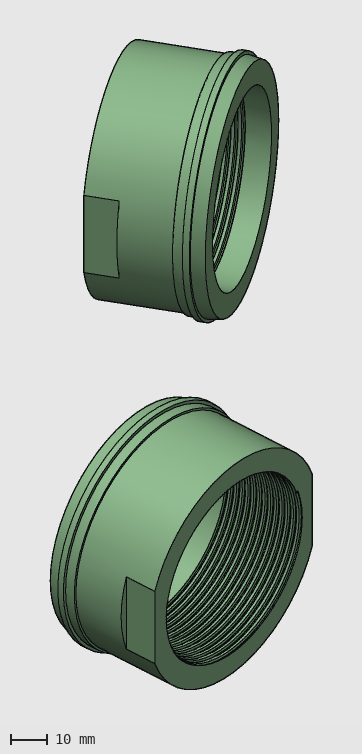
import cadquery as cq

length = 35.0
collar_start = 25.95
flange_start = 29.0
flange_end = 31.0

flange_radius = 37.4
collar_radius = 36.4
body_radius = 35.75
bore_radius = 28.65

flat_length = 10.0
flat_offset = 33.5

thread_length = 28.0
thread_turns = 14
thread_pitch = thread_length / thread_turns
thread_start_angle = -110
groove_depth = 0.6
groove_mouth = 1.05
groove_root = 0.45
groove_overlap = 0.15


def make_body():
    """Stepped sleeve revolved about X, with a tapered nose after the flange."""
    outline = [
        (0, bore_radius),
        (0, body_radius),
        (collar_start, body_radius),
        (collar_start, collar_radius),
        (flange_start, collar_radius),
        (flange_start, flange_radius),
        (flange_end, flange_radius),
        (flange_end, collar_radius),
        (length, body_radius),
        (length, bore_radius),
    ]
    return cq.Workplane("XY").polyline(outline).close().revolve(360, (0, 0, 0), (1, 0, 0))


def make_flat_cutter(side):
    """Block removing the body outside one wrench flat; side is -1 or +1 along Y."""
    depth = flange_radius - flat_offset
    center_y = side * (flat_offset + depth / 2)
    block = cq.Workplane("XY").box(flat_length, depth, 2 * flange_radius)
    return block.translate((flat_length / 2, center_y, 0))


def make_thread_cutter():
    """Trapezoidal groove swept along a helix about X."""
    flank_slope = (groove_mouth - groove_root) / 2 / groove_depth
    half_inner = groove_mouth / 2 + groove_overlap * flank_slope
    half_root = groove_root / 2
    inner_radius = bore_radius - groove_overlap
    root_radius = bore_radius + groove_depth
    path = cq.Wire.makeHelix(thread_pitch, thread_length, bore_radius)
    profile = [
        (inner_radius, -half_inner),
        (root_radius, -half_root),
        (root_radius, half_root),
        (inner_radius, half_inner),
    ]
    groove = cq.Workplane("XZ").polyline(profile).close().sweep(cq.Workplane(obj=path), isFrenet=True)
    return groove.rotate((0, 0, 0), (0, 1, 0), 90).rotate((0, 0, 0), (1, 0, 0), thread_start_angle)


result = make_body()
for flat_side in (-1, 1):
    result = result.cut(make_flat_cutter(flat_side))
result = result.cut(make_thread_cutter())